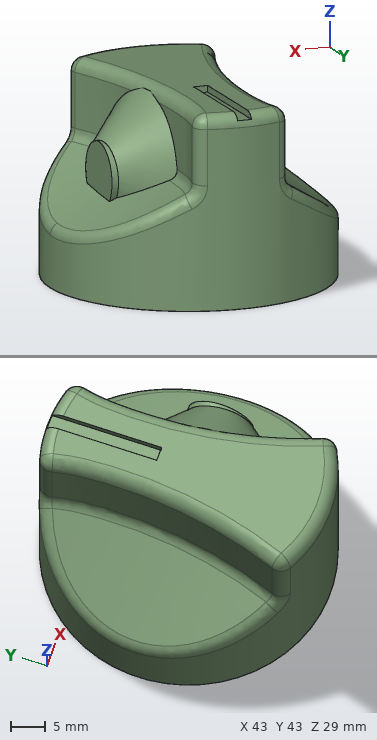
import cadquery as cq
import math

RADIUS = 21.5
HEIGHT = 29.0
ROUND = 1.98

WAIST_HALF_WIDTH = 6.1
WAIST_FRONT_Y = 8.6
WAIST_REAR_Y = 12.9
REAR_ARC_RADIUS = 18.9
FRONT_ARC_RADIUS = 68.8
REAR_REACH_Y = 25.8
FRONT_REACH_Y = -25.8

SHOULDER_TOP_Z = 17.55
SHOULDER_ANGLE = math.radians(30)
CUT_REACH = 18.05
EDGE_FLOOR_Z = 8.6

BOSS_RADIUS = 10.0 / 2
BOSS_CENTRE_Z = 16.05
BOSS_END_X = 13.98
CONE_END_X = 13.4
CONE_TILT = 5.0
CONE_LENGTH = 7.95

GROOVE_WIDTH = 2.15
GROOVE_START_Y = 4.5
GROOVE_DEPTH = 1.0


def flared_point(arc_radius, start_y, reach_y, fraction):
    """Point of the -X wall where it flares outwards on an arc tangent to the waist."""
    angle = fraction * math.asin((reach_y - start_y) / arc_radius)
    x = -WAIST_HALF_WIDTH - arc_radius * (1 - math.cos(angle))
    return x, start_y + arc_radius * math.sin(angle)


def wall_path():
    """One smooth curve from front to rear through both flares and the middle of the waist."""
    front = [
        flared_point(FRONT_ARC_RADIUS, WAIST_FRONT_Y, FRONT_REACH_Y, fraction)
        for fraction in (1, 0.75, 0.5, 0.25)
    ]
    waist = (-WAIST_HALF_WIDTH, (WAIST_FRONT_Y + WAIST_REAR_Y) / 2)
    rear = [
        flared_point(REAR_ARC_RADIUS, WAIST_REAR_Y, REAR_REACH_Y, fraction)
        for fraction in (0.5, 1)
    ]
    return cq.Workplane("XY").spline([*front, waist, *rear])


def side_cut():
    """Material beside the grip on -X: its wall and sloping shoulder follow the wall curve."""
    path = wall_path()
    start = path.val().startPoint()
    tangent = path.val().tangentAt(0)
    section = cq.Plane(origin=start, xDir=(-tangent.y, tangent.x, 0), normal=tangent)

    turn = math.pi / 2 - SHOULDER_ANGLE
    setback = ROUND * math.tan(turn / 2)
    fillet_top_z = SHOULDER_TOP_Z + setback
    fillet_middle = (
        ROUND * (1 - math.cos(turn / 2)),
        fillet_top_z - ROUND * math.sin(turn / 2),
    )
    fillet_end = (
        setback * math.cos(SHOULDER_ANGLE),
        SHOULDER_TOP_Z - setback * math.sin(SHOULDER_ANGLE),
    )
    cut_top_z = HEIGHT + ROUND
    return (
        cq.Workplane(section)
        .moveTo(0, cut_top_z)
        .lineTo(0, fillet_top_z)
        .threePointArc(fillet_middle, fillet_end)
        .lineTo(CUT_REACH, SHOULDER_TOP_Z - CUT_REACH * math.tan(SHOULDER_ANGLE))
        .lineTo(CUT_REACH, cut_top_z)
        .close()
        .sweep(path)
    )


def knob_body():
    """Cylinder with both sides cut away and every edge above the base rounded."""
    left_cut = side_cut()
    body = (
        cq.Workplane("XY")
        .circle(RADIUS)
        .extrude(HEIGHT)
        .cut(left_cut)
        .cut(left_cut.mirror("YZ"))
    )
    above_base = cq.selectors.BoxSelector((-RADIUS, -RADIUS, EDGE_FLOOR_Z), (RADIUS, RADIUS, 2 * HEIGHT))
    rim = body.faces("%CYLINDER").edges(above_base)
    return rim.add(body.faces(">Z").edges()).fillet(ROUND)


def boss():
    """45 degree cone, slightly turned to the rear, with a short round pad facing +X."""
    cone = (
        cq.Workplane("YZ", origin=(-CONE_LENGTH, 0, 0))
        .circle(BOSS_RADIUS + CONE_LENGTH)
        .workplane(offset=CONE_LENGTH)
        .circle(BOSS_RADIUS)
        .loft()
        .rotate((0, 0, 0), (0, 0, 1), CONE_TILT)
        .translate((CONE_END_X, 0, BOSS_CENTRE_Z))
    )
    pad = (
        cq.Workplane("YZ", origin=(WAIST_HALF_WIDTH, 0, BOSS_CENTRE_Z))
        .circle(BOSS_RADIUS)
        .extrude(BOSS_END_X - WAIST_HALF_WIDTH)
    )
    limit = cq.Workplane("XY").circle(RADIUS).extrude(HEIGHT - ROUND / 2)
    return cone.union(pad).intersect(limit)


def groove():
    return cq.Workplane("XY", origin=(0, GROOVE_START_Y, HEIGHT - GROOVE_DEPTH)).box(
        GROOVE_WIDTH, RADIUS, HEIGHT, centered=(True, False, False)
    )


result = knob_body().union(boss()).cut(groove())